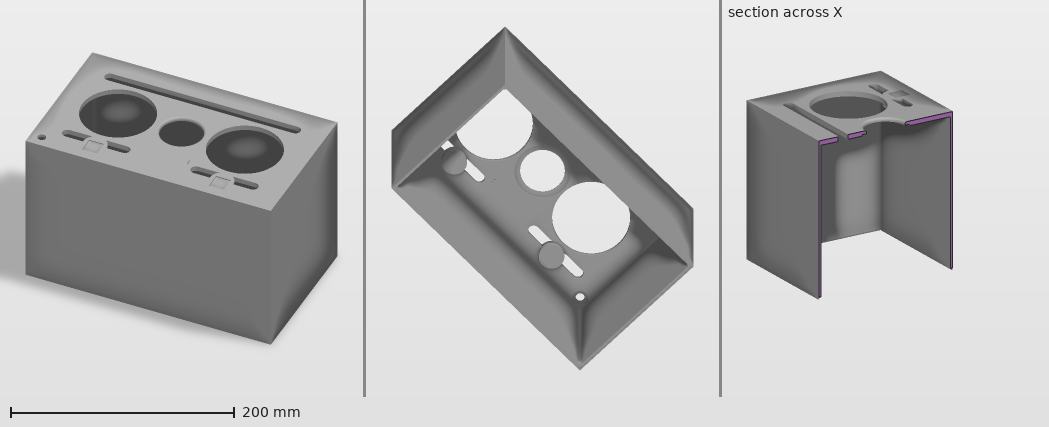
import cadquery as cq

LENGTH = 242.0
WIDTH = 142.0
HEIGHT = 152.0
PLATE_THICKNESS = 5.0
WALL = 3.0
CAVITY_CORNER_RADIUS = 3.0

RIM_WALL = 0.9
RIM_HEIGHT = 2.0

OPENING_X = 62.5
OPENING_DIAMETER = 70.0
CENTRE_DIAMETER = 40.0
CENTRE_ROUND = 2.5
CENTRE_HOLE_DEPTH = 3.5
CENTRE_RELIEF_DIAMETER = 50.0

SLOT_WIDTH = 10.0
SLOT_Y = 45.0
LONG_SLOT_LENGTH = 193.0
SHORT_SLOT_LENGTH = 66.5
SHORT_SLOT_X = (LONG_SLOT_LENGTH - SHORT_SLOT_LENGTH) / 2

TAB_RADIUS = 11.5
TAB_Y = -49.4
TAB_HEIGHT = 10.0
RECESS_LENGTH = 14.5
RECESS_WIDTH = 15.0
RECESS_Y = -53.0
RECESS_DEPTH = 1.0

CORNER_HOLE_DIAMETER = 8.0
CORNER_HOLE_X = -110.0
CORNER_HOLE_Y = -60.0
CORNER_HOLE_DEPTH = 3.0
CORNER_RELIEF_DIAMETER = 14.0
PIN_HOLE_DIAMETER = 1.25
PIN_HOLE_X = 24.25
PIN_HOLE_Y = -37.5
PIN_HOLE_SPACING = 3.0


def make_box():
    """Box that is closed at the top and open at the bottom."""
    outside = cq.Workplane("XY").box(LENGTH, WIDTH, HEIGHT, centered=(True, True, False))
    cavity = (
        cq.Workplane("XY")
        .rect(LENGTH - 2 * WALL, WIDTH - 2 * WALL)
        .extrude(HEIGHT - PLATE_THICKNESS)
        .edges("|Z")
        .fillet(CAVITY_CORNER_RADIUS)
    )
    seat = cq.Workplane("XY").rect(LENGTH - 2 * RIM_WALL, WIDTH - 2 * RIM_WALL).extrude(RIM_HEIGHT)
    return outside.cut(cavity).cut(seat)


def plate_layer():
    """Workplane on the underside of the top plate."""
    return cq.Workplane("XY").workplane(offset=HEIGHT - PLATE_THICKNESS)


def plate_hole(x, y, diameter):
    """Cutter for a round hole through the top plate."""
    return plate_layer().center(x, y).circle(diameter / 2).extrude(PLATE_THICKNESS)


def underside_relief(x, y, diameter, remaining):
    """Cutter for a round relief that thins the plate from below to the remaining thickness."""
    return plate_layer().center(x, y).circle(diameter / 2).extrude(PLATE_THICKNESS - remaining)


def plate_slot(x, y, length):
    """Cutter for a round-ended slot through the top plate."""
    return plate_layer().center(x, y).slot2D(length, SLOT_WIDTH).extrude(PLATE_THICKNESS)


def centre_opening():
    """Cutter for the middle opening, flared at the top by a convex round."""
    radius = CENTRE_DIAMETER / 2
    return (
        cq.Workplane("XZ")
        .moveTo(0, HEIGHT - PLATE_THICKNESS)
        .lineTo(radius, HEIGHT - PLATE_THICKNESS)
        .lineTo(radius, HEIGHT - CENTRE_ROUND)
        .radiusArc((radius + CENTRE_ROUND, HEIGHT), CENTRE_ROUND)
        .lineTo(0, HEIGHT)
        .close()
        .revolve(360, (0, 0), (0, 1))
    )


def tab(side):
    """Round tab that starts flush with the top and hangs below the plate."""
    return (
        cq.Workplane("XY")
        .workplane(offset=HEIGHT - TAB_HEIGHT)
        .center(side * OPENING_X, TAB_Y)
        .circle(TAB_RADIUS)
        .extrude(TAB_HEIGHT)
    )


def tab_recess(side):
    """Cutter for the shallow, nearly square recess over the tab."""
    return (
        cq.Workplane("XY")
        .workplane(offset=HEIGHT - RECESS_DEPTH)
        .center(side * OPENING_X, RECESS_Y)
        .rect(RECESS_LENGTH, RECESS_WIDTH)
        .extrude(RECESS_DEPTH)
    )


def corner_hole():
    """Cutter for the corner hole and the relief beneath it."""
    hole = plate_hole(CORNER_HOLE_X, CORNER_HOLE_Y, CORNER_HOLE_DIAMETER)
    return hole.union(
        underside_relief(CORNER_HOLE_X, CORNER_HOLE_Y, CORNER_RELIEF_DIAMETER, CORNER_HOLE_DEPTH)
    )


result = make_box()
result = result.cut(plate_slot(0, SLOT_Y, LONG_SLOT_LENGTH))
result = result.cut(centre_opening())
result = result.cut(underside_relief(0, 0, CENTRE_RELIEF_DIAMETER, CENTRE_HOLE_DEPTH))
result = result.cut(corner_hole())
for side in (-1, 1):
    pin_hole_y = PIN_HOLE_Y + side * PIN_HOLE_SPACING / 2
    result = result.cut(plate_hole(side * OPENING_X, 0, OPENING_DIAMETER))
    result = result.cut(plate_slot(side * SHORT_SLOT_X, -SLOT_Y, SHORT_SLOT_LENGTH))
    result = result.union(tab(side))
    result = result.cut(tab_recess(side))
    result = result.cut(plate_hole(PIN_HOLE_X, pin_hole_y, PIN_HOLE_DIAMETER))